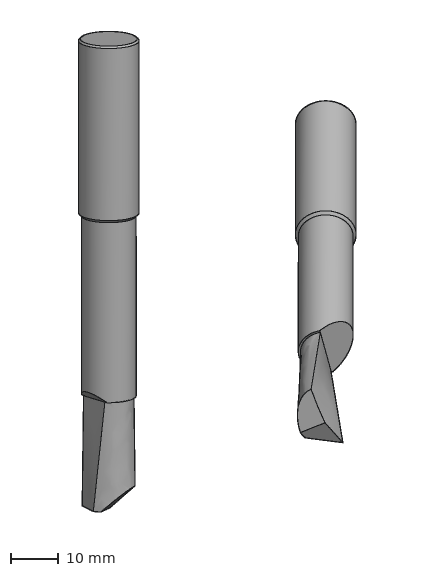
import cadquery as cq
import math

total_length = 101.6
shank_radius = 6.35
shank_bottom_z = 64.0
shank_top_chamfer = 0.4
neck_radius = 5.74

blade_top_z = 24.5
blade_top_radius = 5.3
blade_tip_radius = 6.1
cutting_corner_angle = 205.0
flank_corner_angle = 286.0
back_corner_angle = 25.0
blade_twist = -24.0

runout_slope = 1.0
end_relief = 0.1
end_slope = 0.04
tip_bevel_slope = 0.95
cutter_size = 40.6


def polar(radius, angle):
    direction = math.radians(angle)
    return (radius * math.cos(direction), radius * math.sin(direction))


def above_plane(origin, normal):
    """Block filling the side of a plane toward which its normal points."""
    plane = cq.Plane(origin=origin, normal=normal)
    return cq.Workplane(plane).rect(cutter_size, cutter_size).extrude(cutter_size)


def make_body():
    """Revolve the shank and neck with their conical edges."""
    shoulder_drop = shank_radius - neck_radius
    return (
        cq.Workplane("XZ")
        .moveTo(0, blade_top_z)
        .lineTo(neck_radius, blade_top_z)
        .lineTo(neck_radius, shank_bottom_z - shoulder_drop)
        .lineTo(shank_radius, shank_bottom_z)
        .lineTo(shank_radius, total_length - shank_top_chamfer)
        .lineTo(shank_radius - shank_top_chamfer, total_length)
        .lineTo(0, total_length)
        .close()
        .revolve(360, (0, 0, 0), (0, 1, 0))
    )


def flat_runout(start_angle, end_angle):
    """Wedge of neck removed above the blade flat joining two corner directions."""
    outward_angle = (start_angle + end_angle) / 2
    half_angle = math.radians((end_angle - start_angle) / 2)
    flat_distance = blade_top_radius * math.cos(half_angle)
    flat_x, flat_y = polar(flat_distance, outward_angle)
    normal_x, normal_y = polar(runout_slope, outward_angle)
    return above_plane((flat_x, flat_y, blade_top_z), (normal_x, normal_y, -1))


def section_wire(height, radius, turn):
    """Blade section: two flats meeting at the cutting corner, closed by a round back."""
    cutting_corner = polar(radius, cutting_corner_angle + turn)
    flank_corner = polar(radius, flank_corner_angle + turn)
    back_corner = polar(radius, back_corner_angle + turn)
    arc_middle_angle = (flank_corner_angle + back_corner_angle + 360) / 2
    arc_middle = polar(radius, arc_middle_angle + turn)
    section = (
        cq.Workplane("XY", origin=(0, 0, height))
        .moveTo(*cutting_corner)
        .lineTo(*flank_corner)
        .threePointArc(arc_middle, back_corner)
        .close()
    )
    return section.val()


def make_blade():
    """Loft the twisted, widening blade and trim its relieved end and bevel."""
    tip_wire = section_wire(0, blade_tip_radius, blade_twist)
    top_wire = section_wire(blade_top_z, blade_top_radius, 0)
    blade = cq.Workplane(cq.Solid.makeLoft([tip_wire, top_wire], True))
    lowest_x, lowest_y = polar(blade_tip_radius, cutting_corner_angle + blade_twist)
    end_cut = above_plane((lowest_x, lowest_y, 0), (end_slope, -end_relief, -1))
    bevel_cut = above_plane((0, 0, 0), (tip_bevel_slope, 0, -1))
    return blade.cut(end_cut).cut(bevel_cut)


body = make_body()
body = body.cut(flat_runout(cutting_corner_angle, flank_corner_angle))
body = body.cut(flat_runout(back_corner_angle, cutting_corner_angle))
result = body.union(make_blade())